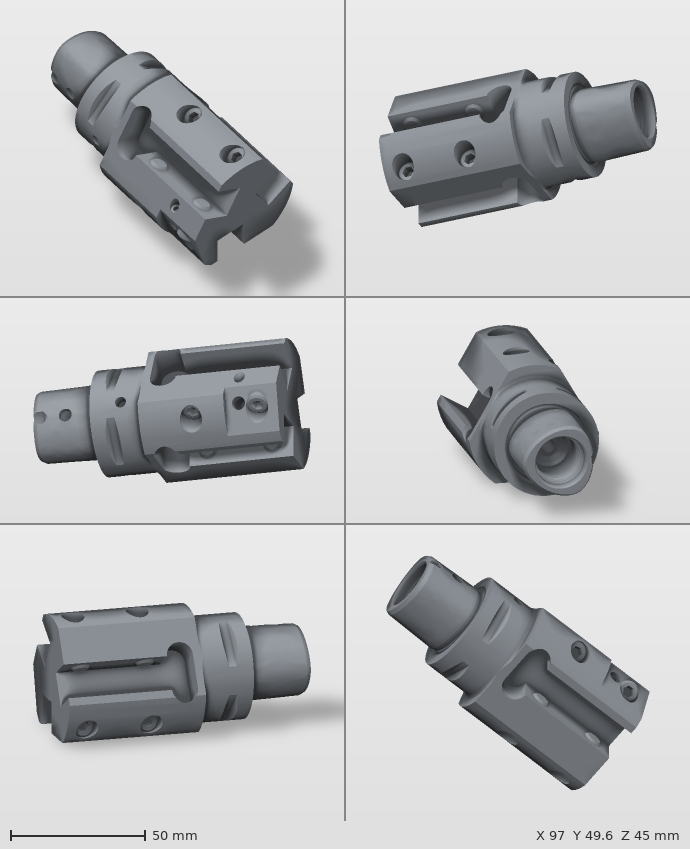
import cadquery as cq
import math


SHANK_LENGTH = 24.0
SHANK_BASE_RADIUS = 14.0
TAPER_SLOPE = 1 / 40
LOBE_HEIGHT = 0.87
OUTLINE_POINTS = 48
TIP_CHAMFER_LENGTH = 1.6
TIP_CHAMFER_DEPTH = 0.8
NECK_LENGTH = 1.7
NECK_DEPTH = 0.35
UNDERCUT_INNER_RADIUS = 14.4
UNDERCUT_OUTER_RADIUS = 15.76
UNDERCUT_DEPTH = 0.6

FLANGE_RADIUS = 20.0
FLANGE_LENGTH = 20.0
FLANGE_FILLET = 1.0

HEAD_END = 73.0
HEAD_RADIUS = 25.0
FACET_DISTANCE = 20.0
FACET_ANGLES = (30, 150, 270)

BORE_PROFILE = [
    (10.2, 0), (9.6, 1.0),
    (9.6, 3.9), (9.05, 4.4),
    (9.05, 5.2), (8.6, 5.6),
    (8.6, 6.3), (8.2, 7.5),
    (8.2, 20.0), (7.26, 20.0),
    (6.3, 21.2), (4.2, 22.4),
    (2.6, 22.4), (2.6, 29.0),
    (0, 30.5),
]

KEY_RADIUS = 2.65
KEY_AXIS_Y = -13.6
KEY_DEPTH = 4.0
SHANK_HOLE_RADIUS = 2.5
SHANK_HOLE_X = -11.35
SHANK_HOLE_DEPTH = 2.5
FLANGE_HOLE_RADIUS = 2.1
FLANGE_HOLE_X = 12.0
FLANGE_HOLE_DEPTH = 5.0
DRILL_POINT = 59
KEY_POINT = 45

GROOVE_X = 7.9
GROOVE_FLOOR = 17.5
GROOVE_FLOOR_WIDTH = 2.9
GROOVE_MOUTH_WIDTH = 5.4
GROOVE_ANGLES = (45, 135, 225, 315)

SLOT_FLOOR = 8.0
SLOT_LOW = -1.0
SLOT_WIDTH = 13.0
SLOT_HIGH = SLOT_LOW + SLOT_WIDTH
RELIEF_X = 27.8
RELIEF_RADIUS = 5.0

SCREW_XS = (40.0, 65.0)
SCREW_RADIUS = 4.25
SCREW_LENGTH = 16.0
SCREW_TIP_RADIUS = 2.75
SCREW_AXIS = (SLOT_FLOOR + FACET_DISTANCE) / 2
SOCKET_FLATS = 4.0
SOCKET_DEPTH = 4.0
HEAD_CHAMFER = 0.75
SOCKET_TURNS = (15, 0)

PAD_START = 53.0
PAD_ANGLE = 195
PAD_DISTANCE = 22.0
PIN_HOLE_X = 58.0
PIN_HOLE_RADIUS = 2.5
PIN_HOLE_DEPTH = 13.3
LOCK_RADIUS = 2.1
LOCK_DEPTH = 3.8
LOCK_LENGTH = 5.2
LOCK_SOCKET_FLATS = 2.0
LOCK_SOCKET_DEPTH = 2.0
LOCK_CHAMFER = 0.4

BEYOND = 60.0


def radial(angle):
    """Unit vector in the YZ plane, with angles measured from +Y towards +Z."""
    return cq.Vector(0, math.cos(math.radians(angle)), math.sin(math.radians(angle)))


def facing(angle, distance, x=0, offset=0):
    """Workplane facing outward at an angle; local x is X, local y runs clockwise round the axis."""
    origin = cq.Vector(x, 0, 0) + radial(angle) * distance + radial(angle - 90) * offset
    return cq.Workplane(cq.Plane(origin, (1, 0, 0), radial(angle)))


def across(x):
    """Workplane at X = x facing +X; local x is Y and local y is Z."""
    return cq.Workplane(cq.Plane((x, 0, 0), (0, 1, 0), (1, 0, 0)))


def placed(shape, workplane):
    """Shape modelled at the origin, moved onto a workplane."""
    return cq.Workplane(shape.val().moved(cq.Location(workplane.plane)))


def drilled(workplane, radius, depth, point_angle=DRILL_POINT):
    """Drill shape with a pointed end, going back into the material from a workplane."""
    point = radius / math.tan(math.radians(point_angle))
    profile = cq.Workplane("XZ").moveTo(0, BEYOND).lineTo(radius, BEYOND).lineTo(radius, -depth)
    tool = profile.lineTo(0, -depth - point).close().revolve(360, (0, 0, 0), (0, 1, 0))
    return placed(tool, workplane)


def polygon_outline(workplane, mean_radius):
    """Three-lobed curve of constant width, with one lobe towards +Y."""
    def point(turn):
        support = mean_radius + LOBE_HEIGHT * math.cos(3 * turn)
        slope = -3 * LOBE_HEIGHT * math.sin(3 * turn)
        y = support * math.cos(turn) - slope * math.sin(turn)
        z = support * math.sin(turn) + slope * math.cos(turn)
        return (y, z)
    points = [point(2 * math.pi * i / OUTLINE_POINTS) for i in range(OUTLINE_POINTS)]
    return workplane.spline(points, periodic=True).close()


def polygon_loft(start, start_radius, end, end_radius):
    """Tapering polygon section between two positions on the axis."""
    first = polygon_outline(across(start), start_radius)
    return polygon_outline(first.workplane(offset=end - start), end_radius).loft(ruled=True)


def revolve_about_x(points):
    return cq.Workplane("XY").polyline(points).close().revolve(360, (0, 0, 0), (1, 0, 0))


def make_shank():
    neck_start = -NECK_LENGTH
    chamfer_end = -SHANK_LENGTH + TIP_CHAMFER_LENGTH
    chamfer_radius = SHANK_BASE_RADIUS - TAPER_SLOPE * (neck_start - chamfer_end)
    neck_radius = SHANK_BASE_RADIUS - NECK_DEPTH
    tip = polygon_loft(-SHANK_LENGTH, chamfer_radius - TIP_CHAMFER_DEPTH, chamfer_end, chamfer_radius)
    taper = polygon_loft(chamfer_end, chamfer_radius, neck_start, SHANK_BASE_RADIUS)
    neck = polygon_outline(across(neck_start), neck_radius).extrude(NECK_LENGTH + UNDERCUT_DEPTH)
    return tip.union(taper).union(neck)


def undercut():
    """Ring groove sunk into the contact face, with an arc for its section."""
    middle = (UNDERCUT_INNER_RADIUS + UNDERCUT_OUTER_RADIUS) / 2
    section = cq.Workplane("XY").moveTo(0, UNDERCUT_INNER_RADIUS).threePointArc(
        (UNDERCUT_DEPTH, middle), (0, UNDERCUT_OUTER_RADIUS))
    return section.close().revolve(360, (0, 0, 0), (1, 0, 0))


def make_flange_and_head():
    fillet_start = FLANGE_LENGTH - FLANGE_FILLET
    fillet_bulge = FLANGE_FILLET * math.sqrt(0.5)
    outline = (
        cq.Workplane("XY").moveTo(0, 0).lineTo(0, FLANGE_RADIUS).lineTo(fillet_start, FLANGE_RADIUS)
        .threePointArc(
            (fillet_start + fillet_bulge, FLANGE_RADIUS + FLANGE_FILLET - fillet_bulge),
            (FLANGE_LENGTH, FLANGE_RADIUS + FLANGE_FILLET),
        )
        .lineTo(FLANGE_LENGTH, HEAD_RADIUS).lineTo(HEAD_END, HEAD_RADIUS).lineTo(HEAD_END, 0).close()
    )
    blank = outline.revolve(360, (0, 0, 0), (1, 0, 0))
    for angle in FACET_ANGLES:
        blank = blank.cut(facing(angle, FACET_DISTANCE).rect(4 * BEYOND, 2 * BEYOND).extrude(BEYOND))
    return blank


def bore_cutter():
    points = [(depth - SHANK_LENGTH, radius) for radius, depth in BORE_PROFILE]
    return revolve_about_x(points + [(-SHANK_LENGTH, 0)])


def key_hole():
    mouth = cq.Plane((-SHANK_LENGTH, KEY_AXIS_Y, 0), (0, 1, 0), (-1, 0, 0))
    return drilled(cq.Workplane(mouth), KEY_RADIUS, KEY_DEPTH, KEY_POINT)


def shank_hole():
    mouth = facing(180, SHANK_BASE_RADIUS - LOBE_HEIGHT, SHANK_HOLE_X)
    return drilled(mouth, SHANK_HOLE_RADIUS, SHANK_HOLE_DEPTH)


def flange_hole():
    return drilled(facing(180, FLANGE_RADIUS, FLANGE_HOLE_X), FLANGE_HOLE_RADIUS, FLANGE_HOLE_DEPTH)


def gripper_groove(angle):
    """Straight groove across the flange with a flat floor and flared sides."""
    flare = (GROOVE_MOUTH_WIDTH - GROOVE_FLOOR_WIDTH) / 2 / (FLANGE_RADIUS - GROOVE_FLOOR)
    reach = HEAD_RADIUS - GROOVE_FLOOR
    floor = GROOVE_FLOOR_WIDTH / 2
    mouth = floor + flare * reach
    side = facing(angle - 90, 0, GROOVE_X, -GROOVE_FLOOR)
    section = [(-floor, 0), (floor, 0), (mouth, -reach), (-mouth, -reach)]
    return side.polyline(section).close().extrude(HEAD_RADIUS, both=True)


def tool_slot(angle):
    """Slot open at a facet and the head's end, with a rounded cross relief at its inner end."""
    middle = (SLOT_LOW + SLOT_HIGH) / 2
    channel = (
        facing(angle, SLOT_FLOOR).center(RELIEF_X + BEYOND / 2, middle)
        .rect(BEYOND, SLOT_WIDTH).extrude(BEYOND)
    )
    relief = (
        facing(angle, SLOT_FLOOR).center(RELIEF_X, middle)
        .slot2D(SLOT_WIDTH + 2 * RELIEF_RADIUS, 2 * RELIEF_RADIUS, 90).extrude(BEYOND)
    )
    return channel.union(relief)


def screw_blank(radius, length, tip_radius, chamfer):
    """Solid set screw with its head at Z = 0 and its tip pointing down."""
    profile = cq.Workplane("XZ").polyline([
        (0, 0), (radius - chamfer, 0), (radius, -chamfer),
        (radius, radius - tip_radius - length), (tip_radius, -length), (0, -length),
    ])
    return profile.close().revolve(360, (0, 0, 0), (0, 1, 0))


def hex_socket(flats, depth, turn=0):
    corners = flats / math.cos(math.radians(30))
    return cq.Workplane("XY").polygon(6, corners).extrude(-depth).rotate((0, 0, 0), (0, 0, 1), turn)


def clamp_screw_seat(facet_angle, x):
    """Workplane on a clamp screw's head; the screw points from the lobe into the slot."""
    return facing(facet_angle + 90, SCREW_LENGTH, x, SCREW_AXIS)


def make_clamp_screw(facet_angle, x, socket_turn):
    blank = screw_blank(SCREW_RADIUS, SCREW_LENGTH, SCREW_TIP_RADIUS, HEAD_CHAMFER)
    screw = blank.cut(hex_socket(SOCKET_FLATS, SOCKET_DEPTH, socket_turn))
    return placed(screw, clamp_screw_seat(facet_angle, x))


def clamp_screw_hole(facet_angle, x):
    """Access bore down to the tip cone, which the hole follows into the slot."""
    fit = screw_blank(SCREW_RADIUS, SCREW_LENGTH, SCREW_TIP_RADIUS, HEAD_CHAMFER)
    access = cq.Workplane("XY").workplane(offset=-SCREW_LENGTH / 2).circle(SCREW_RADIUS).extrude(BEYOND)
    return placed(fit.union(access), clamp_screw_seat(facet_angle, x))


def pad_cutter():
    length = HEAD_END - PAD_START
    return facing(PAD_ANGLE, PAD_DISTANCE, PAD_START + length / 2).rect(length, BEYOND).extrude(BEYOND)


def pin_hole():
    return drilled(facing(PAD_ANGLE, PAD_DISTANCE, PIN_HOLE_X), PIN_HOLE_RADIUS, PIN_HOLE_DEPTH)


def lock_axis(height):
    """Workplane across the lock screw at a height above the pin hole's axis."""
    return facing(PAD_ANGLE - 90, height, PIN_HOLE_X, LOCK_DEPTH - PAD_DISTANCE)


def lock_hole():
    return lock_axis(0).circle(LOCK_RADIUS).extrude(BEYOND)


def make_lock_screw():
    blank = screw_blank(LOCK_RADIUS, LOCK_LENGTH, LOCK_RADIUS - LOCK_CHAMFER, LOCK_CHAMFER)
    screw = blank.cut(hex_socket(LOCK_SOCKET_FLATS, LOCK_SOCKET_DEPTH))
    return placed(screw, lock_axis(PIN_HOLE_RADIUS + LOCK_LENGTH))


def make_holder():
    flange_and_head = make_flange_and_head().cut(undercut()).cut(bore_cutter())
    holder = flange_and_head.union(make_shank().cut(bore_cutter()))
    for hole in (key_hole(), shank_hole(), flange_hole()):
        holder = holder.cut(hole)
    for angle in GROOVE_ANGLES:
        holder = holder.cut(gripper_groove(angle))
    for angle in FACET_ANGLES:
        holder = holder.cut(tool_slot(angle))
        for x in SCREW_XS:
            holder = holder.cut(clamp_screw_hole(angle, x))
    return holder.cut(pad_cutter()).cut(pin_hole()).cut(lock_hole())


holder = make_holder()
clamp_screws = [
    make_clamp_screw(angle, x, turn)
    for angle in FACET_ANGLES
    for x, turn in zip(SCREW_XS, SOCKET_TURNS)
]
lock_screw = make_lock_screw()
result = cq.Compound.makeCompound([holder.val(), *[screw.val() for screw in clamp_screws], lock_screw.val()])